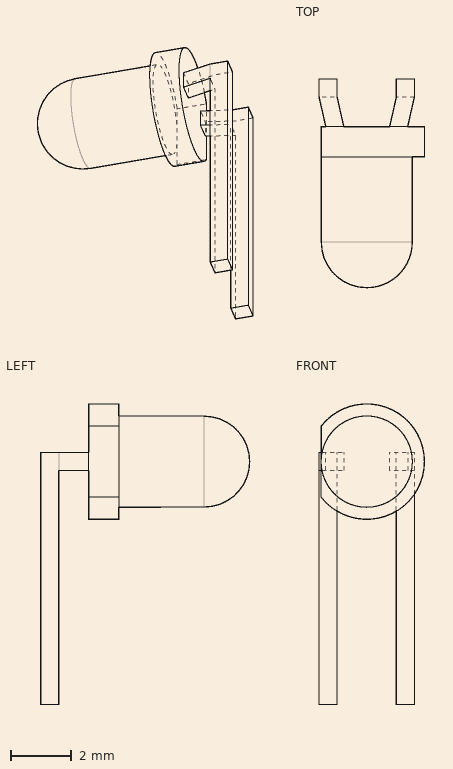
import cadquery as cq
import math

lens_diameter = 3.0
lens_radius = lens_diameter / 2
flange_diameter = 3.8
flange_radius = flange_diameter / 2
flange_thickness = 1.0
cylinder_length = 2.8
flat_x = -lens_radius

lead_size = 0.6
lead_pitch = 2.54
lead_pitch_at_flange = 2.1
lead_gap = 0.97
overall_height = 9.89

flange_front_y = -flange_thickness
dome_center_y = flange_front_y - cylinder_length
leg_back_y = lead_gap + lead_size
leg_bottom_z = flange_radius - overall_height
lead_top_z = lead_size / 2


def make_lens():
    """Cylinder with a hemispherical tip, revolved about the Y axis."""
    dome_side = lens_radius * math.sin(math.pi / 4)
    return (
        cq.Workplane("XY")
        .moveTo(0, flange_front_y)
        .lineTo(lens_radius, flange_front_y)
        .lineTo(lens_radius, dome_center_y)
        .threePointArc((dome_side, dome_center_y - dome_side), (0, dome_center_y - lens_radius))
        .close()
        .revolve(360, (0, 0), (0, 1))
    )


def make_flange():
    """Round flange with one flat on its -X side."""
    disc = cq.Workplane("XZ").circle(flange_radius).extrude(flange_thickness)
    keep_width = flange_radius - flat_x
    keep = (
        cq.Workplane("XZ")
        .center(flat_x + keep_width / 2, 0)
        .rect(keep_width, flange_diameter)
        .extrude(flange_thickness)
    )
    return disc.intersect(keep)


def make_lead(side):
    """One lead on the given side of X (-1 or 1): a splayed arm and a vertical leg."""
    half_size = lead_size / 2
    root_x = side * lead_pitch_at_flange / 2
    leg_x = side * lead_pitch / 2
    arm = (
        cq.Workplane("XY", origin=(0, 0, -half_size))
        .polyline([
            (root_x - half_size, 0),
            (root_x + half_size, 0),
            (leg_x + half_size, lead_gap),
            (leg_x + half_size, leg_back_y),
            (leg_x - half_size, leg_back_y),
            (leg_x - half_size, lead_gap),
        ])
        .close()
        .extrude(lead_size)
    )
    leg = (
        cq.Workplane("XY", origin=(leg_x, lead_gap + half_size, leg_bottom_z))
        .rect(lead_size, lead_size)
        .extrude(lead_top_z - leg_bottom_z)
    )
    return arm.union(leg)


result = make_flange().union(make_lens())
for lead_side in (-1, 1):
    result = result.union(make_lead(lead_side))